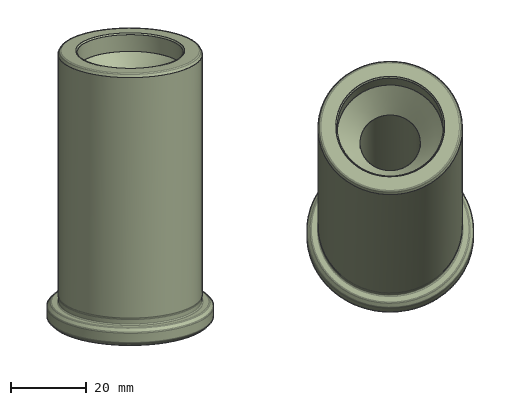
import cadquery as cq

height = 75.0
flange_diameter = 44.0
body_diameter = 38.1
bore_diameter = 15.9

flange_height = 5.0
flange_chamfer = 1.05

relief_diameter = 37.8
relief_height = 1.5
relief_taper_height = 0.5

lead_height = 1.0
lead_width = 0.5

counterbore_diameter = 28.0
counterbore_depth = 5.0
mouth_chamfer = 0.4

edge_round = 0.45
lead_round = 0.45
relief_round = 0.3

flange_radius = flange_diameter / 2
body_radius = body_diameter / 2
relief_radius = relief_diameter / 2
bore_radius = bore_diameter / 2
counterbore_radius = counterbore_diameter / 2

relief_top = flange_height + relief_height
counterbore_bottom = height - counterbore_depth
cone_bottom = counterbore_bottom - (counterbore_radius - bore_radius)

section = [
    (bore_radius, 0),
    (flange_radius - flange_chamfer, 0),
    (flange_radius, flange_chamfer),
    (flange_radius, flange_height - flange_chamfer),
    (flange_radius - flange_chamfer, flange_height),
    (relief_radius, flange_height),
    (relief_radius, relief_top),
    (body_radius, relief_top + relief_taper_height),
    (body_radius, height - lead_height),
    (body_radius - lead_width, height),
    (counterbore_radius + mouth_chamfer, height),
    (counterbore_radius, height - mouth_chamfer),
    (counterbore_radius, counterbore_bottom),
    (bore_radius, cone_bottom),
]

bushing = cq.Workplane("XZ").polyline(section).close().revolve(360, (0, 0), (0, 1))


def round_corner(body, corner, radius):
    """Fillet the circular edge swept by one (radius, height) corner of the section."""
    corner_radius, corner_height = corner
    tolerance = 0.001
    edges = [
        edge for edge in body.edges("%CIRCLE").vals()
        if abs(edge.radius() - corner_radius) < tolerance
        and abs(edge.Center().z - corner_height) < tolerance
    ]
    return body.newObject(edges).fillet(radius)


flange_corners = [
    (flange_radius - flange_chamfer, 0),
    (flange_radius, flange_chamfer),
    (flange_radius, flange_height - flange_chamfer),
    (flange_radius - flange_chamfer, flange_height),
]
for flange_corner in flange_corners:
    bushing = round_corner(bushing, flange_corner, edge_round)

bushing = round_corner(bushing, (relief_radius, flange_height), relief_round)
result = round_corner(bushing, (body_radius - lead_width, height), lead_round)